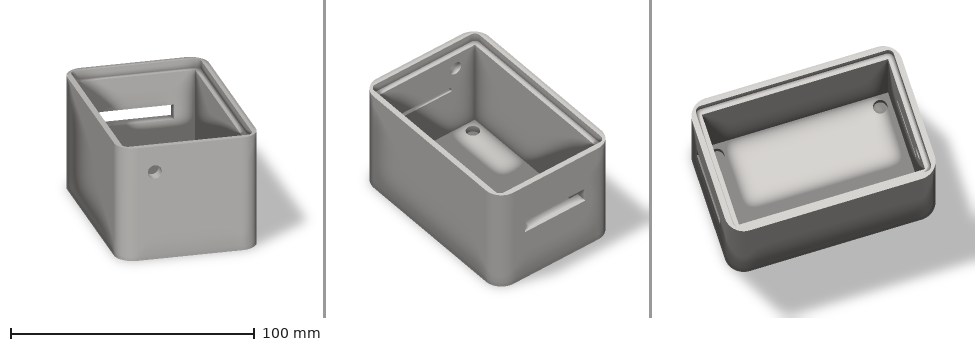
import cadquery as cq

length = 90.3
width = 60.35
height = 50.0
corner_radius = 8.0

wall = 5.1
floor = 5.1
lip_wall = 2.5
lip_depth = 4.0
lip_radius = 2.5

pocket_diameter = 6.0
pocket_depth = 3.0
pocket_inset = 5.0

wide_slot_width = 31.6
wide_slot_height = 6.6
wide_slot_y = 0.3
narrow_slot_width = 26.1
narrow_slot_height = 2.1
narrow_slot_depth = 3.0
slot_center_z = 28.3
wall_hole_diameter = 6.0
wall_hole_y = -15.0
wall_hole_z = 38.7

cavity_length = length - 2 * wall
cavity_width = width - 2 * wall


def block(size_x, size_y, bottom, top):
    """Box centred on the Z axis between two heights."""
    return cq.Workplane("XY").workplane(offset=bottom).rect(size_x, size_y).extrude(top - bottom)


def end_wall_slot(side, depth, slot_width, slot_height, center_y):
    """Rectangular cutter going outward from the cavity; side is -1 or +1 along X."""
    cutter_center_x = side * (cavity_length + depth) / 2
    return cq.Workplane("XY").box(depth, slot_width, slot_height).translate(
        (cutter_center_x, center_y, slot_center_z)
    )


body = block(length, width, 0, height).edges("|Z").fillet(corner_radius)
cavity = block(cavity_length, cavity_width, floor, height)

lip_recess = (
    block(length - 2 * lip_wall, width - 2 * lip_wall, height - lip_depth, height)
    .edges("|Z")
    .fillet(lip_radius)
)

floor_pockets = (
    cq.Workplane("XY")
    .workplane(offset=floor - pocket_depth)
    .rect(cavity_length - 2 * pocket_inset, cavity_width - 2 * pocket_inset, forConstruction=True)
    .vertices()
    .circle(pocket_diameter / 2)
    .extrude(pocket_depth)
)

wide_slot = end_wall_slot(-1, wall, wide_slot_width, wide_slot_height, wide_slot_y)
narrow_slot = end_wall_slot(1, narrow_slot_depth, narrow_slot_width, narrow_slot_height, 0)
wall_hole = (
    cq.Workplane("YZ")
    .workplane(offset=cavity_length / 2)
    .center(wall_hole_y, wall_hole_z)
    .circle(wall_hole_diameter / 2)
    .extrude(wall)
)

result = body
for cutter in (cavity, lip_recess, floor_pockets, wide_slot, narrow_slot, wall_hole):
    result = result.cut(cutter)